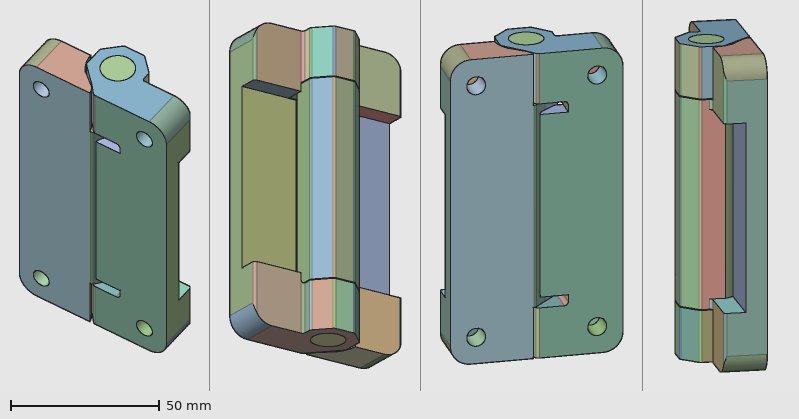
import cadquery as cq
import math

LENGTH = 110.0
OPEN_WIDTH = 60.0
LEAF_WIDTH = OPEN_WIDTH / 2
THICKNESS = 15.0
CORNER_RADIUS = 7.0
BACK_EDGE_RADIUS = 1.0

KNUCKLE_APOTHEM = 10.0
OCTAGON_HALF_SIDE = KNUCKLE_APOTHEM * math.tan(math.pi / 8)
KNUCKLE_EDGE_RADIUS = 1.3
KNUCKLE_ROOT_RADIUS = 1.0
FLANK_STRAIGHT_END = 4.0
FLANK_TIP = 0.28
FLANK_TIP_RADIUS = 1.3

SOCKET_RADIUS = 11.0
POCKET_FLOOR = THICKNESS / 2
SOCKET_ARC_END = math.asin(POCKET_FLOOR / SOCKET_RADIUS)
LIP_TIP = 1.2
LIP_SHOULDER = (2.4, -12.2)
LIP_CREST = (1.6, -13.5)

MIDDLE_KNUCKLE_END = 36.5
END_KNUCKLE_START = 36.8
POCKET_END = 33.0
SLOT_CORNER_RADIUS = 1.4

PIN_DIAMETER = 12.0

HOLE_DIAMETER = 6.5
HOLE_DEPTH = 10.0
HOLE_X = 21.0
HOLE_Z = 45.4


def along_axis(profile, bottom, top):
    """Extrude a closed XY profile from Z = bottom to Z = top."""
    return profile.extrude(top - bottom).translate((0, 0, bottom))


def block(x_range, y_range, half_length):
    """Box given by its X and Y ranges, centred on Z = 0."""
    return cq.Workplane("XY").box(
        x_range[1] - x_range[0], y_range[1] - y_range[0], 2 * half_length, centered=(False, False, True)
    ).translate((x_range[0], y_range[0], 0))


def fillet_at(body, points, radius):
    """Round the Z-parallel edges that pass through the given XY points."""
    middle = body.val().BoundingBox().center.z
    for x, y in points:
        body = body.edges("|Z").edges(cq.NearestToPointSelector((x, y, middle))).fillet(radius)
    return body


def knuckle_section(bottom, top):
    """Left leaf plate with its knuckle, whose flank reaches under the other leaf."""
    side = KNUCKLE_APOTHEM
    half_side = OCTAGON_HALF_SIDE
    crown = [(side, half_side), (half_side, side), (-half_side, side), (-side, half_side)]
    straight_end_y = FLANK_STRAIGHT_END - side - half_side
    tip = (-FLANK_TIP, -THICKNESS)
    profile = (
        cq.Workplane("XY")
        .moveTo(-LEAF_WIDTH, 0)
        .lineTo(-side, 0)
        .lineTo(-side, half_side)
        .lineTo(-half_side, side)
        .lineTo(half_side, side)
        .lineTo(side, half_side)
        .lineTo(side, -half_side)
        .lineTo(FLANK_STRAIGHT_END, straight_end_y)
        .tangentArcPoint(tip, relative=False)
        .lineTo(-LEAF_WIDTH, -THICKNESS)
        .close()
    )
    section = along_axis(profile, bottom, top)
    section = fillet_at(section, crown + [(side, -half_side)], KNUCKLE_EDGE_RADIUS)
    section = fillet_at(section, [(-side, 0)], KNUCKLE_ROOT_RADIUS)
    section = fillet_at(section, [tip], FLANK_TIP_RADIUS)
    return fillet_at(section, [(-LEAF_WIDTH, 0)], BACK_EDGE_RADIUS)


def socket_point(angle):
    """Point on the socket arc, at an angle below the back face."""
    return (-SOCKET_RADIUS * math.cos(angle), -SOCKET_RADIUS * math.sin(angle))


def socket_section(bottom, top):
    """Left leaf plate hollowed to clear a knuckle, with a lip at the front."""
    profile = (
        cq.Workplane("XY")
        .moveTo(-LEAF_WIDTH, 0)
        .lineTo(-SOCKET_RADIUS, 0)
        .threePointArc(socket_point(SOCKET_ARC_END / 2), socket_point(SOCKET_ARC_END))
        .lineTo(-LIP_SHOULDER[0], LIP_SHOULDER[1])
        .threePointArc((-LIP_CREST[0], LIP_CREST[1]), (-LIP_TIP, -THICKNESS))
        .lineTo(-LEAF_WIDTH, -THICKNESS)
        .close()
    )
    section = along_axis(profile, bottom, top)
    return fillet_at(section, [(-LEAF_WIDTH, 0)], BACK_EDGE_RADIUS)


def leaf_outline():
    """Rounded outline shared by both leaves, thick enough to keep the knuckles whole."""
    return (
        cq.Workplane("XZ")
        .rect(OPEN_WIDTH, LENGTH)
        .extrude(OPEN_WIDTH, both=True)
        .edges("|Y")
        .fillet(CORNER_RADIUS)
    )


def mounting_holes():
    """Blind holes, one near each corner of the front face."""
    return (
        cq.Workplane("XZ", origin=(0, -THICKNESS, 0))
        .rect(2 * HOLE_X, 2 * HOLE_Z, forConstruction=True)
        .vertices()
        .circle(HOLE_DIAMETER / 2)
        .extrude(-HOLE_DEPTH)
    )


def pin():
    """Full-length pin on the hinge axis."""
    return cq.Workplane("XY").circle(PIN_DIAMETER / 2).extrude(LENGTH / 2, both=True)


def pocket():
    """Pocket in the back of the left leaf, undercutting the knuckle along the socket radius."""
    knuckle_root = cq.Workplane("XY").circle(SOCKET_RADIUS).extrude(POCKET_END, both=True)
    under = block((-LEAF_WIDTH, 0), (-POCKET_FLOOR, 0), POCKET_END).cut(knuckle_root)
    beside = block((-LEAF_WIDTH, -KNUCKLE_APOTHEM), (-POCKET_FLOOR, KNUCKLE_APOTHEM), POCKET_END)
    return under.union(beside)


def make_left_leaf():
    """Plate with the middle knuckle and the pin."""
    leaf = knuckle_section(-MIDDLE_KNUCKLE_END, MIDDLE_KNUCKLE_END).cut(pocket())
    leaf = leaf.union(socket_section(MIDDLE_KNUCKLE_END, LENGTH / 2))
    leaf = leaf.union(socket_section(-LENGTH / 2, -MIDDLE_KNUCKLE_END))
    leaf = leaf.intersect(leaf_outline()).cut(mounting_holes())
    return leaf.union(pin())


def make_right_leaf():
    """Plate with two end knuckles, built on the left side and then mirrored."""
    slot = block((-SOCKET_RADIUS, OPEN_WIDTH), (-2 * THICKNESS, THICKNESS), END_KNUCKLE_START)
    slot = slot.edges("|Y and <X").fillet(SLOT_CORNER_RADIUS)
    window = block((-LEAF_WIDTH, 0), (-POCKET_FLOOR, THICKNESS), POCKET_END)
    leaf = knuckle_section(-LENGTH / 2, LENGTH / 2).cut(slot).cut(window)
    leaf = leaf.union(socket_section(-POCKET_END, POCKET_END).cut(window))
    leaf = leaf.intersect(leaf_outline()).cut(mounting_holes())
    return leaf.cut(pin()).mirror("YZ")


left_leaf = make_left_leaf()
right_leaf = make_right_leaf()

result = cq.Compound.makeCompound([left_leaf.solids().val(), right_leaf.solids().val()])